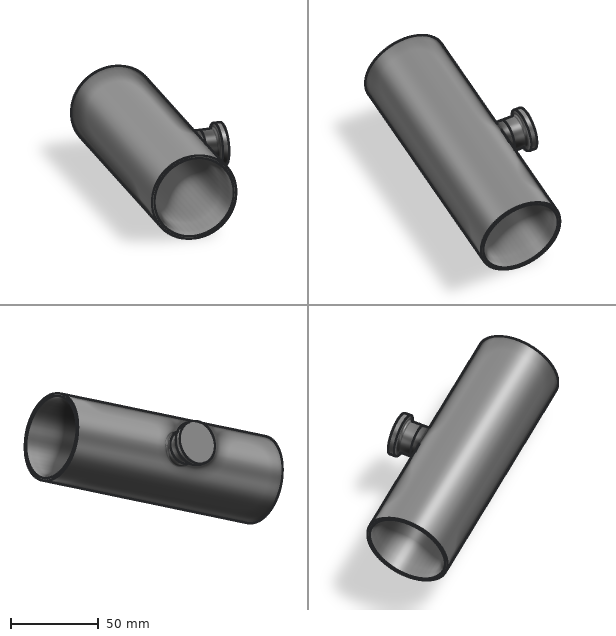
import cadquery as cq
import math

TUBE_LENGTH = 146.0
TUBE_DIAMETER = 50.8
TUBE_WALL = 1.6
TUBE_RADIUS = TUBE_DIAMETER / 2

BRANCH_DIAMETER = 19.1
BRANCH_RADIUS = BRANCH_DIAMETER / 2
BRANCH_REACH = 15.9
COLLAR_HEIGHT = 3.0
ROOT_FILLET = 1.0

FLANGE_DIAMETER = 25.1
FLANGE_RADIUS = FLANGE_DIAMETER / 2
FLANGE_RIM = 3.8
FLANGE_SLOPE = 20.0
NECK_FILLET = 1.5

JOINT_Y = TUBE_RADIUS + COLLAR_HEIGHT
FACE_Y = TUBE_RADIUS + BRANCH_REACH


def make_tube():
    """Run tube centred on the origin, with a short branch collar in one piece."""
    end_plane = cq.Workplane("YZ", origin=(-TUBE_LENGTH / 2, 0, 0))
    outside = end_plane.circle(TUBE_RADIUS).extrude(TUBE_LENGTH)
    bore = end_plane.circle(TUBE_RADIUS - TUBE_WALL).extrude(TUBE_LENGTH)
    collar = cq.Workplane("XZ").circle(BRANCH_RADIUS).extrude(-JOINT_Y)

    reach = BRANCH_RADIUS + ROOT_FILLET
    root = cq.selectors.BoxSelector((-reach, 0, -reach), (reach, TUBE_RADIUS, reach))
    body = outside.union(collar).edges(root).fillet(ROOT_FILLET)
    return body.cut(bore).solids()


def make_ferrule():
    """Clamp ferrule turned about Y: neck, filleted sloping back face and rim."""
    slope = math.radians(FLANGE_SLOPE)
    rim_back_y = FACE_Y - FLANGE_RIM

    center_x = BRANCH_RADIUS + NECK_FILLET
    center_drop = (FLANGE_RADIUS - center_x) * math.tan(slope) + NECK_FILLET / math.cos(slope)
    center_y = rim_back_y - center_drop

    def fillet_point(angle):
        return (center_x + NECK_FILLET * math.cos(angle), center_y + NECK_FILLET * math.sin(angle))

    back_face_angle = math.pi / 2 + slope
    profile = (
        cq.Workplane("XY")
        .moveTo(0, JOINT_Y)
        .lineTo(BRANCH_RADIUS, JOINT_Y)
        .lineTo(BRANCH_RADIUS, center_y)
        .threePointArc(fillet_point((math.pi + back_face_angle) / 2), fillet_point(back_face_angle))
        .lineTo(FLANGE_RADIUS, rim_back_y)
        .lineTo(FLANGE_RADIUS, FACE_Y)
        .lineTo(0, FACE_Y)
        .close()
    )
    return profile.revolve(360, (0, 0, 0), (0, 1, 0))


tube = make_tube()
ferrule = make_ferrule()

result = cq.Compound.makeCompound([tube.val(), ferrule.val()])